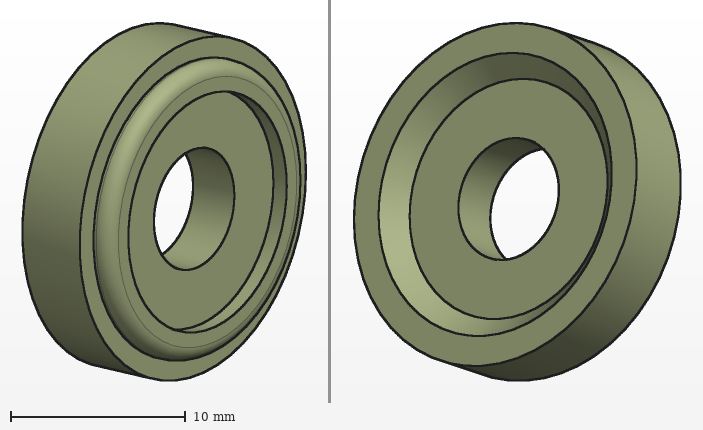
import cadquery as cq

outer_diameter = 20.0
total_length = 5.4
rim_length = 4.3

boss_diameter = 17.55
boss_round = 0.9

bore_diameter = 7.1

front_mouth_diameter = 16.5
front_floor_diameter = 14.0
front_recess_depth = 1.3

back_recess_diameter = 14.0
back_recess_depth = 1.0


def disc(diameter, start, end):
    """Solid disc on the X axis between two X positions."""
    return cq.Workplane("YZ", origin=(start, 0, 0)).circle(diameter / 2).extrude(end - start)


def cone(start_diameter, start, end_diameter, end):
    """Solid truncated cone on the X axis between two X positions."""
    return (
        cq.Workplane("YZ", origin=(start, 0, 0))
        .circle(start_diameter / 2)
        .workplane(offset=end - start)
        .circle(end_diameter / 2)
        .loft(ruled=True)
    )


def rounded_boss():
    """Boss with a rounded outer edge on its end face."""
    return disc(boss_diameter, 0, total_length).faces(">X").edges().fillet(boss_round)


rim = disc(outer_diameter, 0, rim_length)
front_recess = cone(front_mouth_diameter, 0, front_floor_diameter, front_recess_depth)
back_recess = disc(back_recess_diameter, total_length - back_recess_depth, total_length)
bore = disc(bore_diameter, 0, total_length)

result = rim.union(rounded_boss()).cut(front_recess).cut(back_recess).cut(bore)